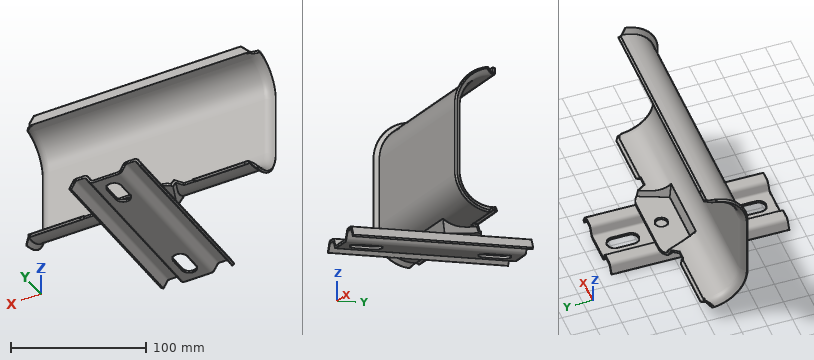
import cadquery as cq
import math

total_length = 198.0
total_height = 122.4
sheet = 2.0

rail_length = 140.0
rail_height = 9.0
ridge_inner_x = 16.0
ridge_outer_x = 26.5
rail_edge_x = 30.9
rail_slope = 30.0
rail_inner_radius = 2.0
rail_outer_radius = rail_inner_radius + sheet
slot_length = 25.1
slot_width = 11.9
slot_spacing = 100.2

panel_front_y = -9.3
inner_radius = 25.0
outer_radius = inner_radius + sheet
bottom_z = 13.0
panel_height = 50.0
top_arc_angle = 80.0
top_flat_length = 5.3
arc_center_y = panel_front_y + outer_radius
lower_arc_z = bottom_z + outer_radius
upper_arc_z = lower_arc_z + panel_height
top_slope = 90 - top_arc_angle

flare_angle = 45.0
flare_drop = 3.5
flare_inner_radius = 8.0
corner_cut_y = 13.7
rim_bend_y = 19.2
rim_angle = 45.0
rim_length = 2.4
rim_inner_x = 46.3
rim_outer_x = total_length / 2 - (rim_bend_y - corner_cut_y)
lip_tilt = 20.0
lip_bend_half_width = 92.9
trim_height = 59.4

foot_front_y = 3.4
foot_front_half_width = 23.5
foot_front_slope = 15.0
foot_side_slope = 26.0
foot_side_angle = 22.0
foot_wall_height = 15.8
foot_rear_y = 30.9
foot_rear_half_width = 30.5
foot_corner_radius = 10.9
tab_edge_angle = 33.0
foot_hole_diameter = 9.9
foot_hole_y = 19.8


def sine(degrees):
    return math.sin(math.radians(degrees))


def cosine(degrees):
    return math.cos(math.radians(degrees))


def tangent(degrees):
    return math.tan(math.radians(degrees))


def with_mirror(points):
    """Complete a half outline with its reflection across the first axis."""
    return points + [(-u, v) for u, v in reversed(points)]



def make_rail():
    bend_shift = sheet * tangent((90 - rail_slope) / 2)
    floor_x = ridge_inner_x - (rail_height - sheet) * tangent(rail_slope)
    edge_z = rail_height - (rail_edge_x - ridge_outer_x) / tangent(rail_slope)
    under_ridge_z = rail_height - sheet

    outer_bends = [
        (floor_x + bend_shift, 0),
        (ridge_inner_x, rail_height),
        (ridge_outer_x, rail_height),
    ]
    inner_bends = [
        (floor_x, sheet),
        (ridge_inner_x + bend_shift, under_ridge_z),
        (ridge_outer_x - bend_shift, under_ridge_z),
    ]
    edge = (rail_edge_x, edge_z)
    edge_underside = (
        rail_edge_x - sheet * cosine(rail_slope),
        edge_z - sheet * sine(rail_slope),
    )
    half_outline = [
        inner_bends[0],
        outer_bends[1],
        outer_bends[2],
        edge,
        edge_underside,
        inner_bends[2],
        inner_bends[1],
        outer_bends[0],
    ]
    rail = (
        cq.Workplane("XZ")
        .polyline(with_mirror(half_outline))
        .close()
        .extrude(rail_length / 2, both=True)
    )
    for bends, radius in ((outer_bends, rail_outer_radius), (inner_bends, rail_inner_radius)):
        for x, z in with_mirror(bends):
            corner = cq.selectors.NearestToPointSelector((x, 0, z))
            rail = rail.edges("|Y").edges(corner).fillet(radius)

    slots = (
        cq.Workplane("XY")
        .rarray(2, slot_spacing, 1, 2)
        .slot2D(slot_length, slot_width, 90)
        .extrude(rail_height)
    )
    return rail.cut(slots)



def make_flared_sheet():
    """C-shaped sheet with flared ends: its lengthwise strip swept around the C."""
    end_x = total_length / 2
    tip_x = end_x - sheet * sine(flare_angle)
    bend_x = tip_x - flare_drop / tangent(flare_angle)
    inner_bend_x = bend_x + sheet * tangent(flare_angle / 2)
    plate_top_z = bottom_z + sheet

    round_start_x = inner_bend_x - flare_inner_radius * tangent(flare_angle / 2)

    def on_rounding(angle):
        return (
            round_start_x + flare_inner_radius * sine(angle),
            plate_top_z - flare_inner_radius * (1 - cosine(angle)),
        )

    middle = on_rounding(flare_angle / 2)
    finish = on_rounding(flare_angle)
    tip = (tip_x, bottom_z - flare_drop)
    end = (end_x, bottom_z - flare_drop + sheet * cosine(flare_angle))
    strip = (
        cq.Workplane("XZ", origin=(0, rim_bend_y, 0))
        .moveTo(-bend_x, bottom_z)
        .lineTo(bend_x, bottom_z)
        .lineTo(*tip)
        .lineTo(*end)
        .lineTo(*finish)
        .threePointArc(middle, (round_start_x, plate_top_z))
        .lineTo(-round_start_x, plate_top_z)
        .threePointArc((-middle[0], middle[1]), (-finish[0], finish[1]))
        .lineTo(-end[0], end[1])
        .lineTo(-tip[0], tip[1])
        .close()
    )

    def on_top_arc(angle):
        return (
            arc_center_y - outer_radius * cosine(angle),
            upper_arc_z + outer_radius * sine(angle),
        )

    path = (
        cq.Workplane("YZ")
        .moveTo(rim_bend_y, bottom_z)
        .lineTo(arc_center_y, bottom_z)
        .threePointArc(
            (arc_center_y - outer_radius * sine(45), lower_arc_z - outer_radius * cosine(45)),
            (panel_front_y, lower_arc_z),
        )
        .lineTo(panel_front_y, upper_arc_z)
        .threePointArc(on_top_arc(top_arc_angle / 2), on_top_arc(top_arc_angle))
        .lineTo(*top_flat_end())
    )
    return strip.sweep(path)


def top_flat_end():
    """Outer (Y, Z) point where the top flat bends up into the lip."""
    return (
        arc_center_y - outer_radius * cosine(top_arc_angle) + top_flat_length * cosine(top_slope),
        upper_arc_z + outer_radius * sine(top_arc_angle) + top_flat_length * sine(top_slope),
    )


def make_flange(bend, sheet_slope, outward, fold_angle, length, x_start, x_end):
    """Straight flange folded toward the outside of the sheet, with 45 degree corners.

    The sheet reaches the outer (Y, Z) bend point rising by sheet_slope, with its outside
    facing up (outward = 1) or down (outward = -1).
    """
    along = cq.Vector(0, cosine(sheet_slope), sine(sheet_slope))
    outside = cq.Vector(0, -sine(sheet_slope), cosine(sheet_slope)) * outward
    fold = along * cosine(fold_angle) + outside * sine(fold_angle)
    fold_outside = outside * cosine(fold_angle) - along * sine(fold_angle)

    corner = cq.Vector(0, *bend)
    corner_inside = corner - outside * sheet
    section = [
        corner,
        corner + fold * length,
        corner + fold * length - fold_outside * sheet,
        corner_inside + along * (sheet * tangent(fold_angle / 2)),
        corner_inside,
    ]
    flange = (
        cq.Workplane("YZ", origin=(x_start, 0, 0))
        .polyline([(point.y, point.z) for point in section])
        .close()
        .extrude(x_end - x_start)
    )
    fold_plane = cq.Plane(origin=corner, xDir=(1, 0, 0), normal=(0, -fold.z, fold.y))
    face_outline = [
        (x_start, -sheet),
        (x_start, 0),
        (x_start + length, length),
        (x_end - length, length),
        (x_end, 0),
        (x_end, -sheet),
    ]
    trim = cq.Workplane(fold_plane).polyline(face_outline).close().extrude(2 * sheet, both=True)
    return flange.intersect(trim)


def make_rims():
    """Rear edges of the bottom plate beside the foot, bent down."""
    bend = (rim_bend_y, bottom_z)
    right_rim = make_flange(bend, 0, -1, rim_angle, rim_length, rim_inner_x, rim_outer_x)
    return right_rim.union(right_rim.mirror("YZ"))


def make_top_lip():
    """Lip folded up from the top flat."""
    bend = top_flat_end()
    length = (total_height - bend[1]) / cosine(lip_tilt)
    fold_angle = 90 - lip_tilt - top_slope
    return make_flange(
        bend, top_slope, 1, fold_angle, length, -lip_bend_half_width, lip_bend_half_width
    )


def foot_frustum(inset):
    """Tapered dimple volume, bounded by the walls moved inward by the inset."""

    def corners(height):
        front_y = foot_front_y - height * tangent(foot_front_slope) + inset / cosine(foot_front_slope)
        side_shift = height * tangent(foot_side_slope) - inset / cosine(foot_side_slope)

        def side_x(y):
            spread = (y - foot_front_y) * tangent(foot_side_angle)
            return foot_front_half_width + spread + side_shift / cosine(foot_side_angle)

        return with_mirror([(side_x(front_y), front_y), (side_x(foot_rear_y), foot_rear_y)])

    return (
        cq.Workplane("XY", origin=(0, 0, rail_height + inset))
        .polyline(corners(inset))
        .close()
        .workplane(offset=foot_wall_height)
        .polyline(corners(inset + foot_wall_height))
        .close()
        .loft(ruled=True)
    )


def space_inside_guard():
    """Room enclosed by the lower arc and the bottom plate, across the foot."""
    plate_top_z = bottom_z + sheet
    return (
        cq.Workplane("YZ")
        .moveTo(foot_rear_y, plate_top_z)
        .lineTo(arc_center_y, plate_top_z)
        .threePointArc(
            (arc_center_y - inner_radius * sine(45), lower_arc_z - inner_radius * cosine(45)),
            (arc_center_y - inner_radius, lower_arc_z),
        )
        .lineTo(foot_rear_y, lower_arc_z)
        .close()
        .extrude(total_length / 2, both=True)
    )


def bottom_blank():
    """Plan outline of the bottom of the guard: corner cuts, rim bend lines and rear tab."""
    end_x = total_length / 2
    tab_edge_run = (foot_rear_y - rim_bend_y) * tangent(tab_edge_angle)
    half_outline = [
        (end_x, -end_x),
        (end_x, corner_cut_y),
        (rim_outer_x, rim_bend_y),
        (foot_rear_half_width + tab_edge_run, rim_bend_y),
        (foot_rear_half_width, foot_rear_y),
    ]
    blank = cq.Workplane("XY").polyline(with_mirror(half_outline)).close().extrude(trim_height)
    return blank.edges("|Z").edges(">Y").fillet(foot_corner_radius)


def cut_top_corners(guard):
    """Cut the rear corners of the top flat and its flares at 45 degrees, square to the flat."""
    bend_y, bend_z = top_flat_end()
    top_flat = cq.Plane(
        origin=(0, bend_y, bend_z),
        xDir=(1, 0, 0),
        normal=(0, -sine(top_slope), cosine(top_slope)),
    )
    reach = total_length / 2 - lip_bend_half_width + sheet
    outer_x = lip_bend_half_width + reach
    for side in (-1, 1):
        corner = (
            cq.Workplane(top_flat)
            .moveTo(side * lip_bend_half_width, 0)
            .lineTo(side * outer_x, -reach)
            .lineTo(side * outer_x, 0)
            .close()
            .extrude(2 * flare_drop, both=True)
        )
        guard = guard.cut(corner)
    return guard


def make_foot_plate():
    """Flat rear extension of the bottom plate, around the foot; outline uncut."""
    plate = cq.Workplane("XY", origin=(0, rim_bend_y, bottom_z))
    return plate.box(
        2 * rim_inner_x, foot_rear_y - rim_bend_y, sheet, centered=(True, False, False)
    )


def make_guard():
    foot = foot_frustum(0).cut(space_inside_guard())
    guard = make_flared_sheet().union(make_foot_plate()).union(foot)
    guard = guard.cut(foot_frustum(sheet))

    below_trim = cq.Workplane("XY").box(
        2 * total_length, 2 * total_length, trim_height, centered=(True, True, False)
    )
    guard = guard.cut(below_trim.cut(bottom_blank()))
    guard = cut_top_corners(guard).union(make_rims()).union(make_top_lip())

    hole = (
        cq.Workplane("XY", origin=(0, foot_hole_y, rail_height))
        .circle(foot_hole_diameter / 2)
        .extrude(sheet)
    )
    return guard.cut(hole)


rail = make_rail()
guard = make_guard()

result = cq.Compound.makeCompound([rail.solids().val(), guard.solids().val()])